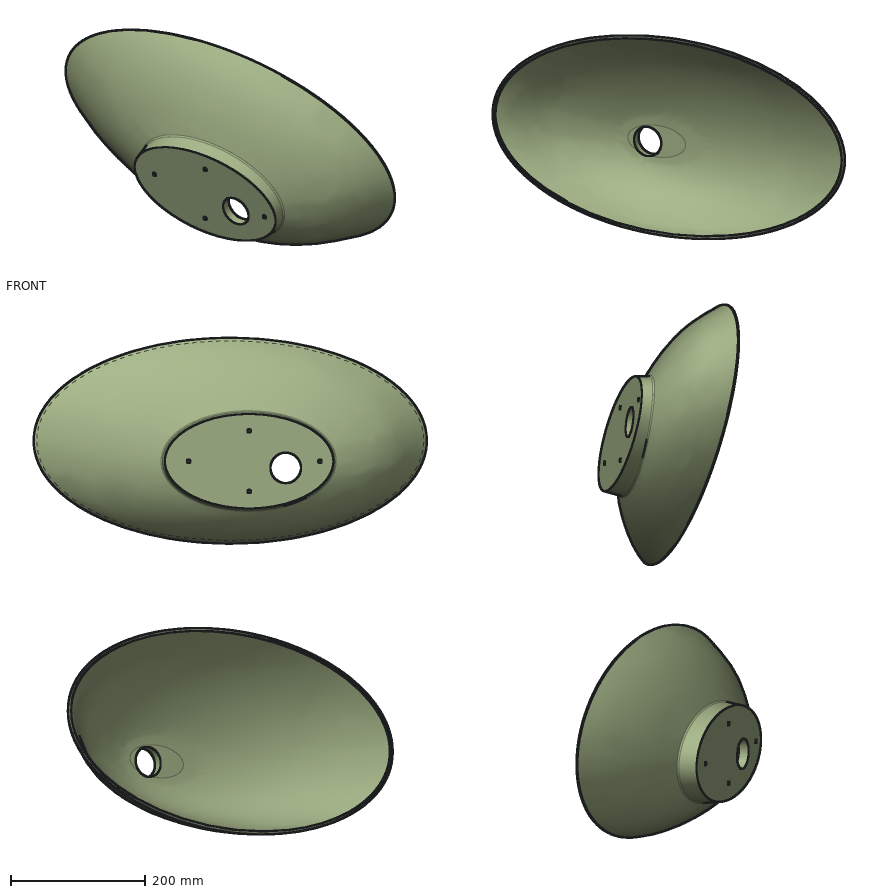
import cadquery as cq
import math

length = 587.0
height = 307.5
depth = 113.0
lip_height = 2.5
rim_round = 2.0
wall = 4.5

bowl_sections = [
    (lip_height, 0.0, 0.0, length / 2, height / 2),
    (31.5, 12.0, -7.5, 252.5, 138.5),
    (61.0, 29.0, -17.5, 201.5, 112.5),
    (84.5, 41.5, -29.0, 143.0, 81.0),
    (95.5, 51.5, -34.0, 104.0, 58.5),
    (102.0, 67.5, -38.0, 53.0, 29.5),
]

foot_x = 28.0
foot_z = -30.5
foot_half_length = 125.5
foot_half_height = 70.5
foot_taper = 8.0
foot_height = 35.0
foot_blend = 3.0

drain_x = 83.0
drain_z = -40.5
drain_diameter = 45.0
screw_diameter = 5.0
screw_depth = 12.0
screw_left = 90.5
screw_right = 105.5
screw_rise = 45.0


def oval(center_x, center_z, half_length, half_height, at_depth):
    """Elliptical wire parallel to the rim at a given depth."""
    return (
        cq.Workplane("XZ", origin=(center_x, -at_depth, center_z))
        .ellipse(half_length, half_height)
        .wire()
        .val()
    )


def bowl_body(inset):
    """Smooth skewed bowl with its sections shrunk by inset, closed by a straight lip."""
    wires = []
    for section_depth, x, z, half_x, half_z in bowl_sections:
        rise = 0 if section_depth == lip_height else inset
        wires.append(oval(x, z, half_x - inset, half_z - inset, section_depth - rise))
    bowl = cq.Workplane("XY").newObject([cq.Solid.makeLoft(wires)])
    lip = (
        cq.Workplane("XZ", origin=(0, -lip_height, 0))
        .ellipse(length / 2 - inset, height / 2 - inset)
        .extrude(-lip_height)
    )
    return bowl.union(lip)


def foot_body():
    """Tapered oval foot reaching up into the bowl."""
    spread = foot_height * math.tan(math.radians(foot_taper))
    base = oval(foot_x, foot_z, foot_half_length, foot_half_height, depth)
    top = oval(
        foot_x, foot_z, foot_half_length + spread, foot_half_height + spread, depth - foot_height
    )
    return cq.Workplane("XY").newObject([cq.Solid.makeLoft([base, top])])


def drain_hole():
    """Cylinder passing through the foot and the bowl floor."""
    return (
        cq.Workplane("XZ", origin=(drain_x, 0, drain_z))
        .circle(drain_diameter / 2)
        .extrude(depth)
    )


def screw_holes():
    """Four blind holes around the foot centre, opening at the base."""
    places = [(-screw_left, 0), (screw_right, 0), (0, screw_rise), (0, -screw_rise)]
    return (
        cq.Workplane("XZ", origin=(foot_x, -depth, foot_z))
        .pushPoints(places)
        .circle(screw_diameter / 2)
        .extrude(-screw_depth)
    )


outer = bowl_body(0).faces(">Y").edges().fillet(rim_round).union(foot_body())

joint_region = cq.selectors.BoxSelector(
    (-length, -depth + screw_depth, -height), (length, -2 * lip_height, height), boundingbox=True
)
outer = outer.edges(joint_region).fillet(foot_blend)

result = outer.cut(bowl_body(wall)).cut(drain_hole()).cut(screw_holes())